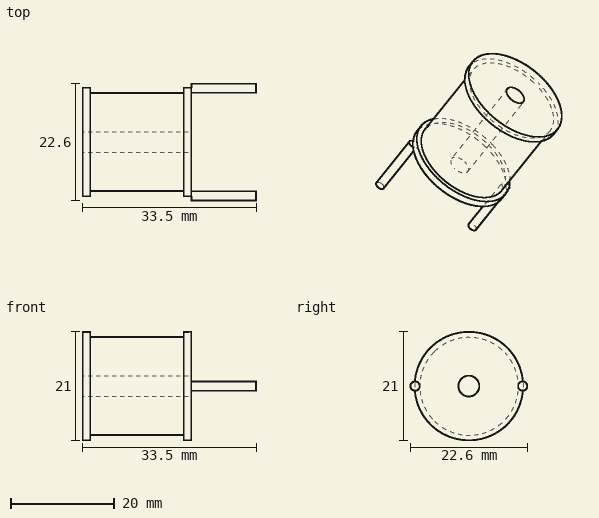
import cadquery as cq

flange_diameter = 21.0
flange_thickness = 1.5
barrel_diameter = 19.0
bobbin_length = 21.0
bore_diameter = 4.0

overall_length = 33.5
overall_width = 22.6
lead_diameter = 1.8
lead_length = overall_length - bobbin_length
lead_offset = (overall_width - lead_diameter) / 2


def cylinder_along_x(diameter, length, start_x, centre_y=0.0):
    """Solid cylinder running in +X from start_x."""
    return (
        cq.Workplane("YZ", origin=(start_x, centre_y, 0))
        .circle(diameter / 2)
        .extrude(length)
    )


def make_bobbin():
    """Barrel between two equal flanges, with a bore right through."""
    bobbin = cylinder_along_x(barrel_diameter, bobbin_length, 0)
    for flange_start in (0, bobbin_length - flange_thickness):
        bobbin = bobbin.union(cylinder_along_x(flange_diameter, flange_thickness, flange_start))
    return bobbin.cut(cylinder_along_x(bore_diameter, bobbin_length, 0))


result = make_bobbin()
for side in (-1, 1):
    result = result.union(cylinder_along_x(lead_diameter, lead_length, bobbin_length, side * lead_offset))